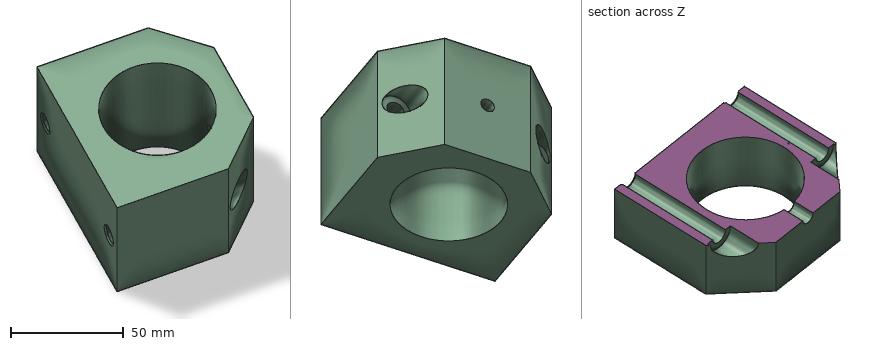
import cadquery as cq

width = 87.0
depth = 76.0
height = 60.0
corner_chamfer = 22.0

bore_diameter = 52.0
bore_to_front = 39.0

hole_spacing = 69.0
hole_diameter = 8.38
countersink_diameter = 10.0
seat_diameter = 15.0
seat_depth = corner_chamfer

cross_hole_diameter = 6.65

front_y = -bore_to_front
back_y = front_y + depth
countersink_depth = (countersink_diameter - hole_diameter) / 2


def make_block():
    """Rectangular block with the two vertical back edges chamfered."""
    block = cq.Workplane("XY").box(width, depth, height)
    block = block.edges("|Z and >Y").chamfer(corner_chamfer)
    return block.translate((0, front_y + depth / 2, 0))


def make_bore():
    """Cylinder that clears the main bore."""
    return cq.Workplane("XY").circle(bore_diameter / 2).extrude(height / 2, both=True)


def make_fastener_hole(x):
    """Through hole along Y: countersunk at the front, with a round screw seat at the back."""
    forward = cq.Vector(0, 1, 0)
    front_point = cq.Vector(x, front_y, 0)
    seat_point = cq.Vector(x, back_y - seat_depth, 0)
    hole = cq.Solid.makeCylinder(hole_diameter / 2, depth, front_point, forward)
    countersink = cq.Solid.makeCone(
        countersink_diameter / 2, hole_diameter / 2, countersink_depth, front_point, forward
    )
    seat = cq.Solid.makeCylinder(seat_diameter / 2, seat_depth, seat_point, forward)
    return cq.Workplane(hole).union(countersink).union(seat)


def make_cross_hole():
    """Cylinder along Y from the bore axis out through the back face."""
    return cq.Workplane("XZ").circle(cross_hole_diameter / 2).extrude(-back_y)


result = make_block().cut(make_bore()).cut(make_cross_hole())
for hole_x in (-hole_spacing / 2, hole_spacing / 2):
    result = result.cut(make_fastener_hole(hole_x))